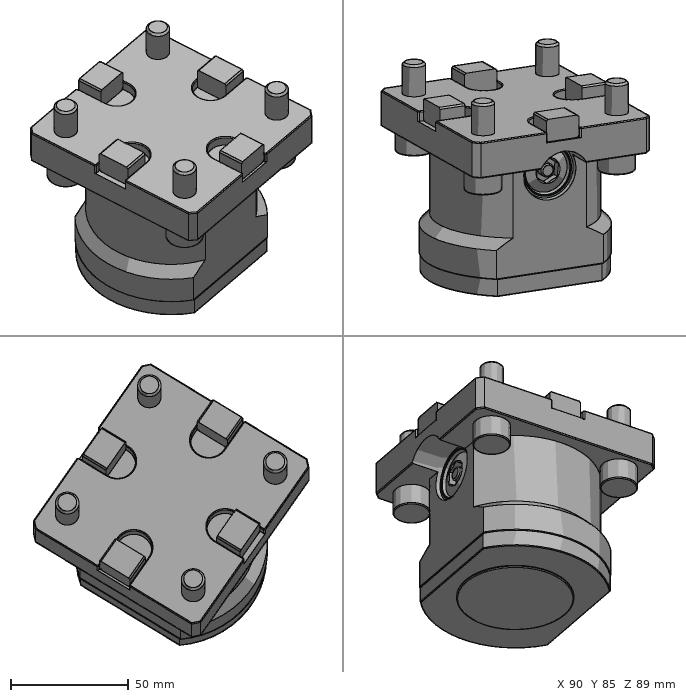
import cadquery as cq
PLATE_X = 90.0
PLATE_Y = 85.0
PLATE_BOTTOM = 59.0
PLATE_TOP = 75.0
CORNER_CHAMFER = 2.8
EDGE_CHAMFER = 0.45

FLAT_WIDTH = 64.0
NECK_DIAMETER = 73.0
BASE_DIAMETER = 82.0
COVER_DIAMETER = 81.4
COVER_BOTTOM = 0.8
COVER_TOP = 8.5
BASE_TOP = 21.4
COVER_CHAMFER = 0.4
SHOULDER_TOP = BASE_TOP + (BASE_DIAMETER - NECK_DIAMETER) / 2
FOOT_DIAMETER = 50.0
FOOT_CHAMFER = 0.45

SCREW_SPACING = 64.0
SCREW_DIAMETER = 10.0
SCREW_TOP = 89.0
SCREW_CHAMFER = 1.0
HEAD_DIAMETER = 16.0
HEAD_BOTTOM = 49.4
HEAD_CHAMFER = 0.45

SLOT_WIDTH = 15.5
SLOT_MOUTH_CHAMFER = 0.6
SLOT_FLOOR = 70.5
SLOT_LENGTH_X = 23.5
SLOT_LENGTH_Y = 22.9
KEY_WIDTH = SLOT_WIDTH
KEY_LENGTH = 12.0
KEY_TOP = 80.5
KEY_CHAMFER = 0.7
KEY_SETBACK_X = 1.1
KEY_SETBACK_Y = 2.4

PORT_HEIGHT = 53.0
PORT_DIAMETER = 25.0
RECESS_DEPTH = 1.8
RECESS_FLOOR_DIAMETER = 24.2
SEAT_RIM_DIAMETER = 22.7
SEAT_FLOOR_DIAMETER = 22.1
WELL_DIAMETER = 21.4
WELL_DEPTH = 1.3
PLUG_DIAMETER = 20.0
PLUG_CONE_LENGTH = 1.6
HEX_FLATS = 10.0
HEX_CORNERS = 11.5
HEX_CHAMFER_DEPTH = 0.45
HEX_DEPTH = 3.6
HEX_TURN = 5.0
PIN_DIAMETER = 6.0
PIN_CHAMFER = 0.6


def cylinder(diameter, bottom, top, x=0.0, y=0.0):
    return cq.Workplane("XY", origin=(x, y, bottom)).circle(diameter / 2).extrude(top - bottom)


def cone(bottom_diameter, top_diameter, bottom, top):
    lower = cq.Workplane("XY", origin=(0, 0, bottom)).circle(bottom_diameter / 2)
    return lower.workplane(offset=top - bottom).circle(top_diameter / 2).loft()


def make_plate():
    plate = cq.Workplane("XY", origin=(0, 0, PLATE_BOTTOM)).rect(PLATE_X, PLATE_Y)
    plate = plate.extrude(PLATE_TOP - PLATE_BOTTOM)
    return plate.edges("|Z").chamfer(CORNER_CHAMFER)


def make_slot(edge, length, angle):
    """Round-ended slot with a flared mouth at x = edge, turned about Z."""
    radius = SLOT_WIDTH / 2
    end_centre = edge - length + radius
    mouth = radius + SLOT_MOUTH_CHAMFER
    throat = edge - SLOT_MOUTH_CHAMFER
    slot = (
        cq.Workplane("XY", origin=(0, 0, SLOT_FLOOR))
        .moveTo(edge, -mouth)
        .lineTo(throat, -radius)
        .lineTo(end_centre, -radius)
        .threePointArc((end_centre - radius, 0), (end_centre, radius))
        .lineTo(throat, radius)
        .lineTo(edge, mouth)
        .close()
        .extrude(PLATE_TOP - SLOT_FLOOR)
    )
    return slot.rotate((0, 0, 0), (0, 0, 1), angle)


def make_key(outer_end, angle):
    """Key with its long edges chamfered, its outer end at x = outer_end, turned about Z."""
    key = cq.Workplane("XY", origin=(outer_end - KEY_LENGTH / 2, 0, SLOT_FLOOR))
    key = key.rect(KEY_LENGTH, KEY_WIDTH).extrude(KEY_TOP - SLOT_FLOOR)
    key = key.edges("|X").chamfer(KEY_CHAMFER)
    return key.rotate((0, 0, 0), (0, 0, 1), angle)


def cut_flats(solid):
    """Trim a round solid to the two parallel X flats."""
    flats = cq.Workplane("XY").rect(FLAT_WIDTH, BASE_DIAMETER).extrude(PLATE_BOTTOM)
    return solid.intersect(flats)


def make_body():
    cover = cut_flats(cylinder(COVER_DIAMETER, COVER_BOTTOM, COVER_TOP))
    cover = cover.faces("<Z").edges().chamfer(COVER_CHAMFER)
    base = cylinder(BASE_DIAMETER, COVER_TOP, BASE_TOP)
    shoulder = cone(BASE_DIAMETER, NECK_DIAMETER, BASE_TOP, SHOULDER_TOP)
    neck = cylinder(NECK_DIAMETER, SHOULDER_TOP, PLATE_BOTTOM)
    housing = cut_flats(base.union(shoulder).union(neck))
    housing = housing.faces("<Z").edges().chamfer(COVER_CHAMFER)
    body = housing.union(cover)
    foot = cylinder(FOOT_DIAMETER, 0, COVER_BOTTOM).faces("<Z").edges().chamfer(FOOT_CHAMFER)
    return body.union(foot)


def make_screw(x, y):
    shank = cylinder(SCREW_DIAMETER, PLATE_BOTTOM, SCREW_TOP, x, y)
    shank = shank.faces(">Z").edges().chamfer(SCREW_CHAMFER)
    head = cylinder(HEAD_DIAMETER, HEAD_BOTTOM, PLATE_BOTTOM, x, y)
    head = head.faces("<Z").edges().chamfer(HEAD_CHAMFER)
    return shank.union(head)


def make_port():
    """Cutter for the port: tapered recess, stepped seat, coned plug, hex socket and pin."""
    flat = -FLAT_WIDTH / 2
    recess_floor = flat + RECESS_DEPTH
    seat_floor = recess_floor + (SEAT_RIM_DIAMETER - SEAT_FLOOR_DIAMETER) / 2
    plug_rim = seat_floor + WELL_DEPTH
    plug_face = plug_rim - PLUG_CONE_LENGTH
    hex_rim = plug_face + HEX_CHAMFER_DEPTH
    bore = (
        cq.Workplane("XZ")
        .moveTo(-PLATE_X / 2, 0)
        .lineTo(-PLATE_X / 2, PORT_DIAMETER / 2)
        .lineTo(flat, PORT_DIAMETER / 2)
        .lineTo(recess_floor, RECESS_FLOOR_DIAMETER / 2)
        .lineTo(recess_floor, SEAT_RIM_DIAMETER / 2)
        .lineTo(seat_floor, SEAT_FLOOR_DIAMETER / 2)
        .lineTo(seat_floor, WELL_DIAMETER / 2)
        .lineTo(plug_rim, PLUG_DIAMETER / 2)
        .lineTo(plug_face, HEX_CORNERS / 2)
        .lineTo(hex_rim, HEX_FLATS / 2)
        .lineTo(hex_rim, 0)
        .close()
        .revolve(360, (0, 0, 0), (1, 0, 0))
    )
    socket = cq.Workplane("YZ", origin=(plug_face, 0, 0)).transformed(rotate=(0, 0, HEX_TURN))
    socket = socket.polygon(6, HEX_FLATS, circumscribed=True).extrude(HEX_DEPTH)
    pin = cq.Workplane("YZ", origin=(plug_face, 0, 0)).circle(PIN_DIAMETER / 2).extrude(HEX_DEPTH)
    pin = pin.faces("<X").edges().chamfer(PIN_CHAMFER)
    return bore.union(socket).cut(pin).translate((0, 0, PORT_HEIGHT))


plate = make_plate()
keys = []
for angle in (0, 90, 180, 270):
    along_x = angle % 180 == 0
    half_side = (PLATE_X if along_x else PLATE_Y) / 2
    slot_length = SLOT_LENGTH_X if along_x else SLOT_LENGTH_Y
    setback = KEY_SETBACK_X if along_x else KEY_SETBACK_Y
    plate = plate.cut(make_slot(half_side, slot_length, angle))
    keys.append(make_key(half_side - setback, angle))

plate = plate.faces(">Z or <Z").edges().chamfer(EDGE_CHAMFER)

result = plate.union(make_body()).cut(make_port())
for key in keys:
    result = result.union(key)

for x in (-SCREW_SPACING / 2, SCREW_SPACING / 2):
    for y in (-SCREW_SPACING / 2, SCREW_SPACING / 2):
        result = result.union(make_screw(x, y))